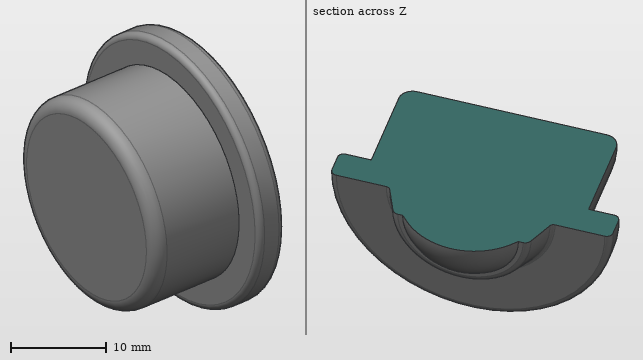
import cadquery as cq
import math

total_length = 21.0
flange_diameter = 31.0
flange_thickness = 3.32
flange_edge_radius = 0.7
body_diameter = 24.0
body_length = 11.0
body_edge_radius = 1.55
collar_base_diameter = 17.92
collar_height = 3.5
collar_slope_angle = 24.0
collar_edge_radius = 0.78
collar_root_radius = 0.5
ball_diameter = 16.0

flange_top = body_length + flange_thickness
collar_top = flange_top + collar_height
ball_center = total_length - ball_diameter / 2

collar_taper = collar_height * math.tan(math.radians(collar_slope_angle))
collar_top_radius = collar_base_diameter / 2 - collar_taper


def disc(diameter, length, start):
    """Cylinder along +Y beginning at the given Y position."""
    plane = cq.Workplane("XZ", origin=(0, start, 0))
    return plane.circle(diameter / 2).extrude(-length)


def make_body():
    return disc(body_diameter, body_length, 0).faces("<Y").edges().fillet(body_edge_radius)


def make_flange():
    return disc(flange_diameter, flange_thickness, body_length).edges().fillet(flange_edge_radius)


def make_collar():
    profile = (
        cq.Workplane("XY")
        .moveTo(0, body_length)
        .lineTo(collar_base_diameter / 2, body_length)
        .lineTo(collar_base_diameter / 2, flange_top)
        .lineTo(collar_top_radius, collar_top)
        .lineTo(0, collar_top)
        .close()
    )
    collar = profile.revolve(360, (0, 0, 0), (0, 1, 0))
    return collar.faces(">Y").edges().fillet(collar_edge_radius)


def round_collar_root(housing):
    """Blend the foot of the collar into the flange face."""
    root_edge = cq.selectors.RadiusNthSelector(0)
    flange_face = housing.faces(cq.selectors.NearestToPointSelector(
        ((collar_base_diameter + flange_diameter) / 4, flange_top, 0)))
    return flange_face.edges(root_edge).fillet(collar_root_radius)


def make_ball():
    return cq.Workplane("XY").sphere(ball_diameter / 2).translate((0, ball_center, 0))


housing = make_body().union(make_flange()).union(make_collar())
result = round_collar_root(housing).union(make_ball())